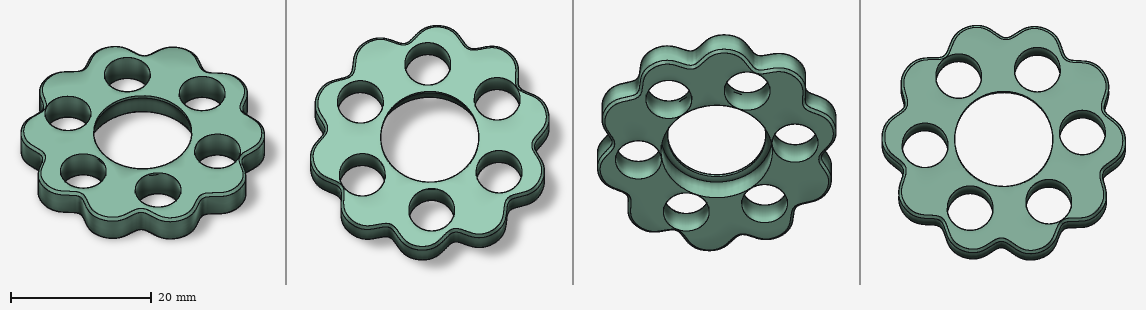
import cadquery as cq
import math

thickness = 4.5
edge_chamfer = 0.4

lobe_count = 10
lobe_tip_radius = 17.39
valley_radius = 15.01
second_wave_height = 0.209
third_wave_height = 0.017
outline_points_per_lobe = 30

bearing_seat_diameter = 15.9
bearing_lip_diameter = 14.0
bearing_lip_thickness = 0.5

output_hole_count = 6
output_hole_diameter = 6.54
output_hole_circle_radius = 11.27

first_wave_height = (lobe_tip_radius - valley_radius) / 2 - third_wave_height
mean_radius = (lobe_tip_radius + valley_radius) / 2 + second_wave_height


def outline_point(angle):
    """Point of the outline at a polar angle; there is a valley on +X and on -X."""
    lobe_angle = lobe_count * angle
    radius = (
        mean_radius
        - first_wave_height * math.cos(lobe_angle)
        - second_wave_height * math.cos(2 * lobe_angle)
        - third_wave_height * math.cos(3 * lobe_angle)
    )
    return (radius * math.cos(angle), radius * math.sin(angle))


def make_lobed_disc():
    """Lobed disc, chamfered around its top and bottom edges."""
    point_count = lobe_count * outline_points_per_lobe
    point_spacing = 2 * math.pi / point_count
    outline = [outline_point(math.pi + i * point_spacing) for i in range(point_count)]
    disc = cq.Workplane("XY").spline(outline, periodic=True).close().extrude(thickness)
    return disc.faces("|Z").edges().chamfer(edge_chamfer)


def make_bearing_bore():
    """Through bore at the lip, widened below it to the bearing seat."""
    lip_bore = cq.Workplane("XY").circle(bearing_lip_diameter / 2).extrude(thickness)
    seat_depth = thickness - bearing_lip_thickness
    seat = cq.Workplane("XY").circle(bearing_seat_diameter / 2).extrude(seat_depth)
    return lip_bore.union(seat)


def make_output_holes():
    """Ring of through holes for the output pins, the first one on +X."""
    return (
        cq.Workplane("XY")
        .polarArray(output_hole_circle_radius, 0, 360, output_hole_count)
        .circle(output_hole_diameter / 2)
        .extrude(thickness)
    )


result = make_lobed_disc().cut(make_bearing_bore()).cut(make_output_holes())